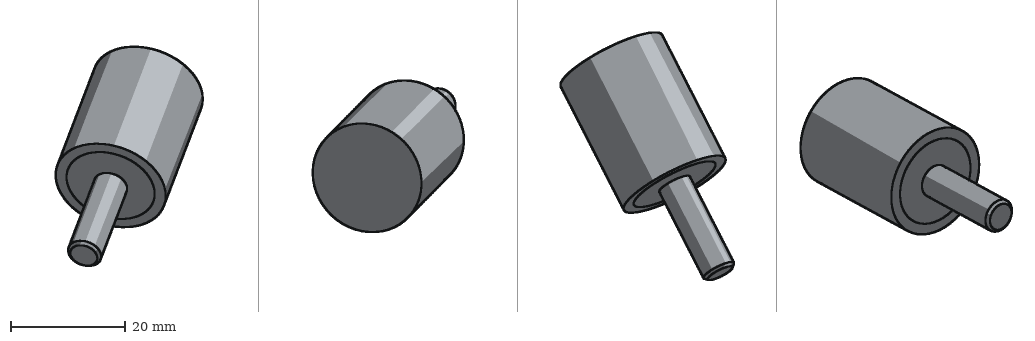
import cadquery as cq

total_length = 43.0
body_length = 25.0
body_diameter = 20.0
plate_diameter = 16.0
plate_thickness = 2.0
stud_diameter = 6.0
stud_chamfer = 0.55

stud_length = total_length - body_length


def rod(diameter, length, start_y=0.0):
    """Solid cylinder along +Y, starting at start_y."""
    plane = cq.Workplane("XZ", origin=(0, start_y, 0))
    return plane.circle(diameter / 2).extrude(-length)


def make_plate():
    """Round plate with its front face at Y = 0."""
    return rod(plate_diameter, plate_thickness)


def make_stud_plate():
    """Round plate with a stud on its front face, chamfered at the free end."""
    stud = rod(stud_diameter, stud_length, -stud_length)
    stud = stud.faces("<Y").chamfer(stud_chamfer)
    return make_plate().union(stud)


def make_rubber_body():
    """Cylinder with a front recess that holds the plate flush."""
    return rod(body_diameter, body_length).cut(make_plate())


rubber_body = make_rubber_body()
stud_plate = make_stud_plate()

result = cq.Compound.makeCompound([rubber_body.val(), stud_plate.val()])